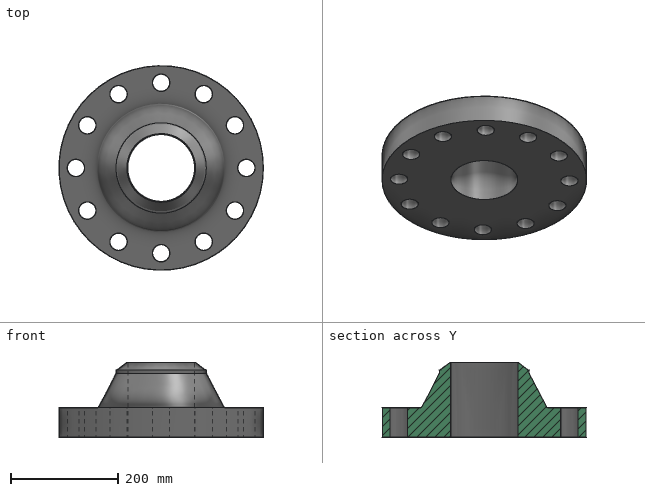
import cadquery as cq
import math

flange_diameter = 381.0
flange_thickness = 55.6
overall_height = 139.7

bolt_count = 12
bolt_circle_diameter = 317.5
bolt_hole_diameter = 31.75

hub_base_diameter = 235.0
hub_fillet_radius = 3.0

pipe_diameter = 168.3
bore_diameter = 124.4
collar_height = 6.5
shoulder_width = 2.8
shoulder_angle = 10.0
bevel_angle = 37.5
bevel_root_radius = 2.0
land_width = 1.8

edge_tolerance = 0.1

bore_radius = bore_diameter / 2
collar_radius = pipe_diameter / 2
land_radius = bore_radius + land_width
bevel_base_radius = collar_radius - shoulder_width
bevel_height = (bevel_base_radius - land_radius) * math.tan(math.radians(bevel_angle))
shoulder_height = shoulder_width * math.tan(math.radians(shoulder_angle))
bevel_base = overall_height - bevel_height
collar_top = bevel_base - shoulder_height
collar_bottom = collar_top - collar_height


def make_flange_plate():
    """Round plate standing on the XY plane."""
    return cq.Workplane("XY").circle(flange_diameter / 2).extrude(flange_thickness)


def make_hub():
    """Tapered hub and welding end, revolved about Z."""
    profile = [
        (0, flange_thickness),
        (hub_base_diameter / 2, flange_thickness),
        (collar_radius, collar_bottom),
        (collar_radius, collar_top),
        (bevel_base_radius, bevel_base),
        (land_radius, overall_height),
        (0, overall_height),
    ]
    return cq.Workplane("XZ").polyline(profile).close().revolve(360, (0, 0), (0, 1))


def fillet_circle(body, radius, height, fillet_radius):
    """Round the circular edge about Z that has the given radius and height."""
    reach = radius + edge_tolerance
    lower_corner = (-reach, -reach, height - edge_tolerance)
    upper_corner = (reach, reach, height + edge_tolerance)
    edge = cq.selectors.BoxSelector(lower_corner, upper_corner, boundingbox=True)
    return body.edges(edge).fillet(fillet_radius)


def cut_bore(body):
    """Open the pipe bore through the full height."""
    bore = cq.Workplane("XY").circle(bore_radius).extrude(overall_height)
    return body.cut(bore)


def cut_bolt_holes(body):
    """Drill the ring of bolt holes through the flange, one of them on +X."""
    holes = (
        cq.Workplane("XY")
        .polarArray(bolt_circle_diameter / 2, 0, 360, bolt_count)
        .circle(bolt_hole_diameter / 2)
        .extrude(flange_thickness)
    )
    return body.cut(holes)


body = make_flange_plate().union(make_hub())
body = fillet_circle(body, hub_base_diameter / 2, flange_thickness, hub_fillet_radius)
body = fillet_circle(body, bevel_base_radius, bevel_base, bevel_root_radius)
body = cut_bore(body)
result = cut_bolt_holes(body)